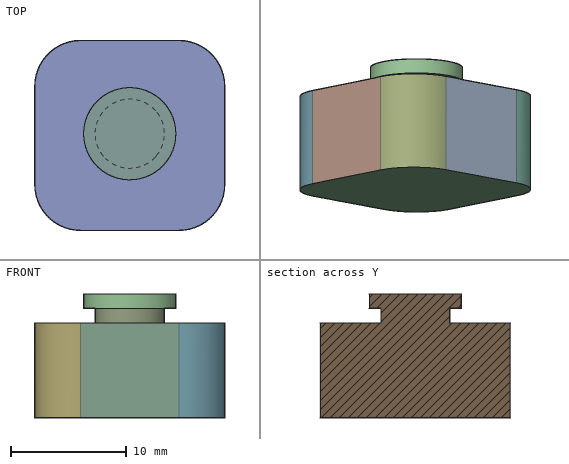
import cadquery as cq

body_side = 16.5
body_height = body_side / 2
corner_radius = 4.0

neck_diameter = 6.0
cap_diameter = 8.0
neck_height = 1.25
cap_height = neck_height
button_offset_y = 0.15


def disc(diameter, height, base_z):
    """Upright cylinder on the button axis, starting at base_z."""
    return (
        cq.Workplane("XY", origin=(0, button_offset_y, base_z))
        .circle(diameter / 2)
        .extrude(height)
    )


body = (
    cq.Workplane("XY")
    .rect(body_side, body_side)
    .extrude(body_height)
    .edges("|Z")
    .fillet(corner_radius)
)
neck = disc(neck_diameter, neck_height, body_height)
cap = disc(cap_diameter, cap_height, body_height + neck_height)

result = body.union(neck).union(cap)